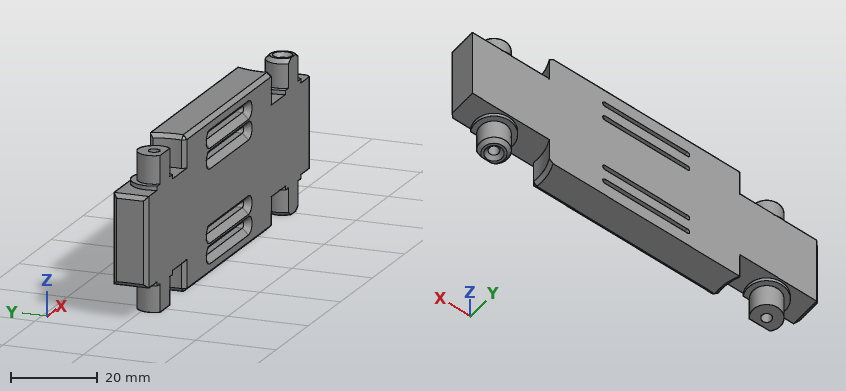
import cadquery as cq

LENGTH = 102.0
THICKNESS = 8.67
HEIGHT = 38.0
AXIS_TO_FRONT = 2.67
FRONT_Y = -AXIS_TO_FRONT
BACK_Y = FRONT_Y + THICKNESS
MID_Y = (FRONT_Y + BACK_Y) / 2

BODY_HEIGHT = 22.2
EDGE_CHAMFER = 1.0

PIN_X = 40.0
PIN_RADIUS = 4.03
COLLAR_RADIUS = 5.5
COLLAR_HEIGHT = 1.0
PIN_HOLE_DIAMETER = 2.7
COUNTERSINK_DEPTH = 1.0

WING_CLEARANCE_RADIUS = 13.0

SLOT_LENGTH = 25.5
SLOT_WIDTH = 1.5
SLOT_FLARE = 1.5
FLARE_ANGLE = 45.0
SLOT_HEIGHTS = (9.0, 14.0)


def upright_cylinder(x, radius, height):
    """Cylinder on a pin axis, centred on Z = 0."""
    return cq.Workplane("XY").center(x, 0).circle(radius).extrude(height / 2, both=True)


def make_body():
    """Long bar: all edges of the left end are chamfered, only the front edge of the right end."""
    bar = cq.Workplane("XY").box(LENGTH, THICKNESS, BODY_HEIGHT).translate((0, MID_Y, 0))
    bar = bar.faces("<X").edges().chamfer(EDGE_CHAMFER)
    return bar.faces(">X").edges("<Y").chamfer(EDGE_CHAMFER)


def make_wings():
    """Full-height middle block with concave ends and chamfered edges."""
    block = cq.Workplane("XY").box(2 * PIN_X, THICKNESS, HEIGHT).translate((0, MID_Y, 0))
    for x in (-PIN_X, PIN_X):
        block = block.cut(upright_cylinder(x, WING_CLEARANCE_RADIUS, HEIGHT))
    front_edges = block.faces("<Y").edges()
    end_edges = block.faces("<Z or >Z").edges("not #Y").edges("%CIRCLE")
    left_back_edge = block.edges("|Z").edges(">Y").edges("<X")
    chamfered = front_edges.add(end_edges).add(left_back_edge)
    return chamfered.chamfer(EDGE_CHAMFER)


def make_pin(x, chamfered):
    """Pin through the full height with a collar at each side of the body."""
    pin = upright_cylinder(x, PIN_RADIUS, HEIGHT)
    if chamfered:
        pin = pin.edges("%CIRCLE").chamfer(EDGE_CHAMFER)
    pin = pin.union(upright_cylinder(x, COLLAR_RADIUS, BODY_HEIGHT + 2 * COLLAR_HEIGHT))
    envelope = cq.Workplane("XY").box(2 * LENGTH, THICKNESS, HEIGHT).translate((0, MID_Y, 0))
    return pin.intersect(envelope)


def make_countersink(x, side):
    """Cone that opens a pin hole at the top (side = 1) or the bottom (side = -1)."""
    hole_radius = PIN_HOLE_DIAMETER / 2
    cone = cq.Solid.makeCone(
        hole_radius + COUNTERSINK_DEPTH,
        hole_radius,
        COUNTERSINK_DEPTH,
        pnt=cq.Vector(x, 0, side * HEIGHT / 2),
        dir=cq.Vector(0, 0, -side),
    )
    return cq.Workplane(obj=cone)


def make_slot(z):
    """Through slot that flares out towards the front face."""
    slot = (
        cq.Workplane("XZ", origin=(0, FRONT_Y, z))
        .slot2D(SLOT_LENGTH, SLOT_WIDTH)
        .extrude(-THICKNESS)
    )
    flare = (
        cq.Workplane("XZ", origin=(0, FRONT_Y, z))
        .slot2D(SLOT_LENGTH + 2 * SLOT_FLARE, SLOT_WIDTH + 2 * SLOT_FLARE)
        .extrude(-SLOT_FLARE, taper=FLARE_ANGLE)
    )
    return slot.union(flare)


result = make_body().union(make_wings())
result = result.union(make_pin(-PIN_X, chamfered=False))
result = result.union(make_pin(PIN_X, chamfered=True))

for pin_x in (-PIN_X, PIN_X):
    result = result.cut(upright_cylinder(pin_x, PIN_HOLE_DIAMETER / 2, HEIGHT))
for side in (-1, 1):
    result = result.cut(make_countersink(PIN_X, side))
    for slot_height in SLOT_HEIGHTS:
        result = result.cut(make_slot(side * slot_height))